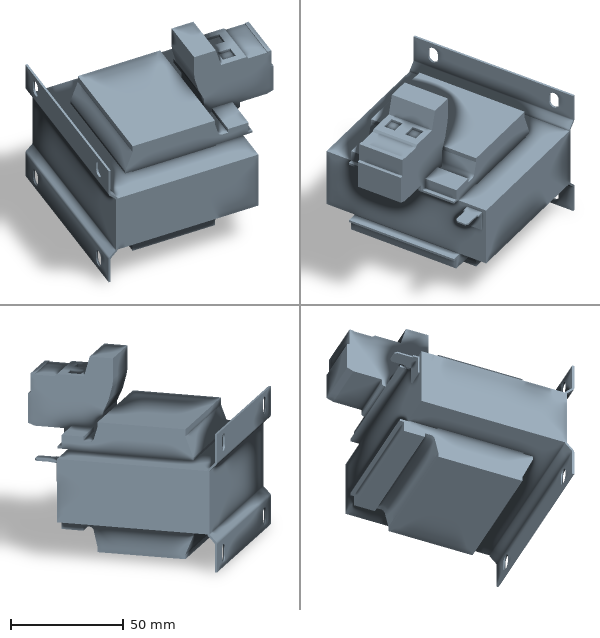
import cadquery as cq
import math


bracket_height = 64.0
sheet = 1.0
bracket_step = 3.5
flange_bend_z = 18.2
bend_angle = 45.0
bend_inner_radius = 0.7
slot_length = 8.0
slot_width = 5.0
slot_x = 31.8
slot_z = 25.65

core_width = 84.0
core_height = 29.4
leg = core_width / 6
core_depth = 5 * leg
core_front = bracket_step + sheet
core_back = core_front + core_depth
window_front = core_front + leg
window_back = core_back - leg

coil_width = 55.3
cover_gap = 0.3
cover_base = core_height / 2 + cover_gap
crown_front = 19.0
crown_back = 60.0
coil_slope_end = 62.1
ledge_height = 19.7
ledge_radius = 2.0
rail_front = 66.6
rail_back = 76.7
rail_height = 21.8
lip_back = 78.6
lip_bottom = 15.4
lip_top = 16.5
lip_root = 74.0

block_width = 22.7
block_front = 57.7
block_back = 97.25
block_top = 54.4
block_nose_radius = 14.4
block_nose_z = 42.6
block_chin = (59.9, 34.4)
stem_front = 62.5
stem_top = 28.6
stem_embed = 1.0
hook_bottom = 16.85
hook_back = 80.4
hook_chamfer_y = 0.9
hook_chamfer_z = 0.75
block_bottom = 20.3
bottom_bevel_y = 3.15
bottom_bevel_z = 1.1
back_step_z = 35.2
back_step_y = 1.15
back_step_rise = 0.4
rim_top = 44.4
rim_width = 2.0
shelf_z = 44.0
shelf_front = 84.8
deck_back = 83.7
deck_front = 71.1
tower_back = 68.5
pocket_width = 5.7
pocket_length = 6.4
pocket_depth = 1.5
pocket_x = 5.55
pocket_y = 76.7
deck_height = 45.1

tab_x = -35.95
tab_sheet = 0.8
tab_top = 13.0
tab_bottom = 3.6
tab_root_width = 7.9
tab_root_back = 77.7
tab_blade_width = 6.3
tab_end = 86.0
tab_corner = 1.0


def extrude_along_x(points, width):
    """Solid of a (Y, Z) outline, centred on X = 0."""
    return cq.Workplane("YZ").polyline(points).close().extrude(width / 2, both=True)


def edge_at(y, z):
    """Selector for the X-parallel edge passing through (y, z)."""
    reach = core_width / 2
    near = 0.05
    return cq.selectors.BoxSelector((-reach, y - near, z - near), (reach, y + near, z + near))


def box_between(x_range, y_range, z_range):
    """Box spanning the given coordinate ranges."""
    size = [end - start for start, end in (x_range, y_range, z_range)]
    corner = (x_range[0], y_range[0], z_range[0])
    return cq.Workplane("XY").box(*size, centered=False).translate(corner)


def make_cover_seat(foot_front):
    """Strip that carries the front foot of the upper cover on the core."""
    return box_between(
        (-coil_width / 2, coil_width / 2), (foot_front, window_front), (core_height / 2, cover_base)
    )


def make_core():
    half_height = core_height / 2
    z_range = (-half_height, half_height)
    core = box_between((-core_width / 2, core_width / 2), (core_front, core_back), z_range)
    for x_start in (-2 * leg, leg):
        core = core.cut(box_between((x_start, x_start + leg), (window_front, window_back), z_range))
    return core


def make_coil_sides():
    """Winding inside the core windows, joining the two covers around the centre leg."""
    return box_between(
        (-coil_width / 2, coil_width / 2), (window_front, window_back), (-cover_base, cover_base)
    )


def make_cover(crown_height, front_shoulder, back_shoulder, foot_front, foot_height):
    """Winding cover above the core, including its terminal rail and locking lip."""
    outline = [
        (foot_front, cover_base),
        (foot_front, foot_height),
        (crown_front, front_shoulder),
        (crown_front, crown_height),
        (crown_back, crown_height),
        (crown_back, back_shoulder),
        (coil_slope_end, ledge_height),
        (rail_front, ledge_height),
        (rail_front, rail_height),
        (rail_back, rail_height),
        (rail_back, lip_top),
        (lip_back, lip_top),
        (lip_back, lip_bottom),
        (lip_root, lip_bottom),
        (lip_root, cover_base),
    ]
    cover = extrude_along_x(outline, coil_width)
    return cover.edges(edge_at(coil_slope_end, ledge_height)).fillet(ledge_radius)


def make_bracket():
    web = bracket_step
    web_bend_z = flange_bend_z - bracket_step / math.tan(math.radians(bend_angle))
    miter = sheet * math.tan(math.radians(bend_angle) / 2)
    top = bracket_height / 2
    outer_bends = [(0, flange_bend_z), (web + sheet, web_bend_z + miter)]
    inner_bends = [(sheet, flange_bend_z + miter), (web, web_bend_z)]
    upper_outer = [(0, top), (0, flange_bend_z), (web, web_bend_z)]
    upper_inner = [(web + sheet, web_bend_z + miter), (sheet, flange_bend_z + miter), (sheet, top)]
    lower_outer = [(y, -z) for y, z in reversed(upper_outer)]
    lower_inner = [(y, -z) for y, z in reversed(upper_inner)]
    bracket = extrude_along_x(upper_outer + lower_outer + lower_inner + upper_inner, core_width)

    for bends, radius in ((outer_bends, bend_inner_radius + sheet), (inner_bends, bend_inner_radius)):
        for y, z in bends:
            for side in (1, -1):
                bracket = bracket.edges(edge_at(y, side * z)).fillet(radius)

    slot_centres = [(x, z) for x in (-slot_x, slot_x) for z in (-slot_z, slot_z)]
    slots = (
        cq.Workplane("XZ")
        .pushPoints(slot_centres)
        .slot2D(slot_length, slot_width, 90)
        .extrude(-sheet)
    )
    return bracket.cut(slots)


def make_terminal_block():
    nose = (block_front, block_nose_z)
    upper_back = block_back - back_step_y
    rim_front = upper_back - rim_width
    outline = [
        (tower_back, block_top),
        (block_front, block_top),
        nose,
        block_chin,
        (stem_front, stem_top),
        (stem_front, ledge_height - stem_embed),
        (rail_back - stem_embed, hook_bottom),
        (hook_back - hook_chamfer_y, hook_bottom),
        (hook_back, hook_bottom + hook_chamfer_z),
        (hook_back, block_bottom),
        (block_back - bottom_bevel_y, block_bottom),
        (block_back, block_bottom + bottom_bevel_z),
        (block_back, back_step_z),
        (upper_back, back_step_z + back_step_rise),
        (upper_back, rim_top),
        (rim_front, rim_top),
        (rim_front, shelf_z),
        (shelf_front, shelf_z),
        (deck_back, deck_height),
        (deck_front, deck_height),
    ]
    block = extrude_along_x(outline, block_width)
    block = block.edges(edge_at(*nose)).fillet(block_nose_radius)
    pockets = (
        cq.Workplane("XY", origin=(0, pocket_y, deck_height))
        .pushPoints([(-pocket_x, 0), (pocket_x, 0)])
        .rect(pocket_width, pocket_length)
        .extrude(-pocket_depth)
    )
    return block.cut(pockets)


def make_earth_tab():
    root_x = (tab_x - tab_root_width / 2, tab_x + tab_root_width / 2)
    blade_x = (tab_x - tab_blade_width / 2, tab_x + tab_blade_width / 2)
    tab_z = (tab_top - tab_sheet, tab_top)
    foot = box_between(root_x, (core_back, core_back + tab_sheet), (tab_bottom, tab_top))
    root = box_between(root_x, (core_back, tab_root_back), tab_z)
    blade = box_between(blade_x, (core_back, tab_end), tab_z)
    blade = blade.faces(">Y").edges("|Z").chamfer(tab_corner)
    return foot.union(root).union(blade)


upper_foot_front = 15.3
upper_cover = make_cover(
    crown_height=29.0,
    front_shoulder=25.7,
    back_shoulder=26.8,
    foot_front=upper_foot_front,
    foot_height=16.0,
)
lower_cover = make_cover(
    crown_height=31.2,
    front_shoulder=29.1,
    back_shoulder=28.8,
    foot_front=13.8,
    foot_height=16.6,
).mirror("XY")

result = (
    make_core()
    .union(make_coil_sides())
    .union(upper_cover)
    .union(make_cover_seat(upper_foot_front))
    .union(lower_cover)
    .union(make_bracket())
    .union(make_terminal_block())
    .union(make_earth_tab())
)